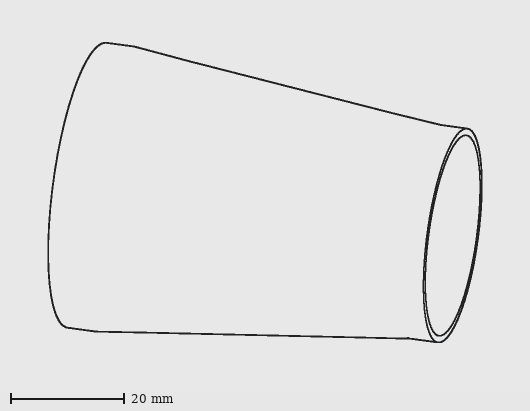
import cadquery as cq

length = 67.0
collar_length = 5.0

wide_outer = 50.8
wide_bore = 47.8
narrow_outer = 38.1
narrow_bore = 35.7

blend_radius = 1.0


def reducer_solid(wide_diameter, narrow_diameter):
    """Solid of revolution about X: wide collar, straight taper, narrow collar."""
    wide_radius = wide_diameter / 2
    narrow_radius = narrow_diameter / 2
    profile = (
        cq.Workplane("XZ")
        .lineTo(0, wide_radius)
        .lineTo(collar_length, wide_radius)
        .lineTo(length - collar_length, narrow_radius)
        .lineTo(length, narrow_radius)
        .lineTo(length, 0)
        .close()
    )
    return profile.revolve(360, (0, 0, 0), (1, 0, 0))


def blend_taper_ends(body):
    """Round the two circular edges between the taper and the collars."""
    taper_edges = body.edges("%CIRCLE").edges("not(<X or >X)")
    return taper_edges.fillet(blend_radius)


outer_body = blend_taper_ends(reducer_solid(wide_outer, narrow_outer))
bore = reducer_solid(wide_bore, narrow_bore)
result = outer_body.cut(bore)